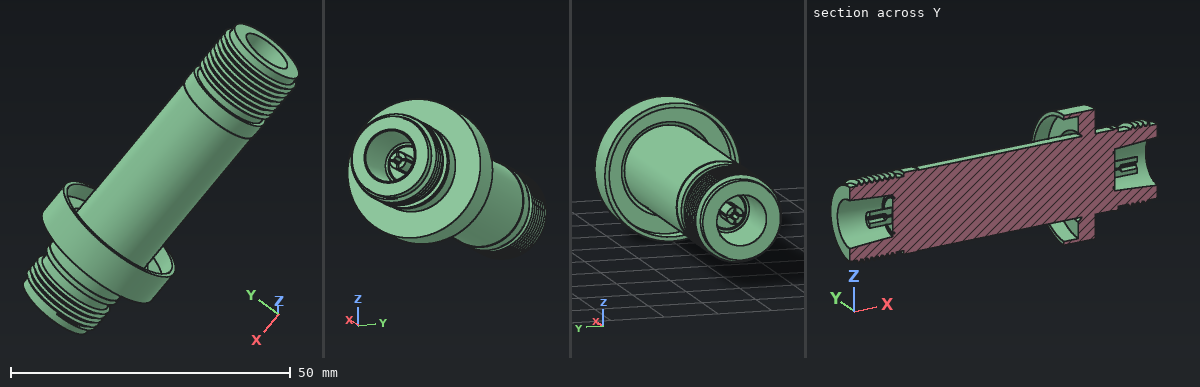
import cadquery as cq


TOTAL_LENGTH = 62.5
TUBE_RADIUS = 7.9
NECK_RADIUS = 7.25

FRONT_COLLAR_START = 10.95
FRONT_COLLAR_END = 14.0
REAR_COLLAR_START = 53.5
REAR_COLLAR_END = 54.5
COLLAR_RADIUS = 8.0
LIP_LENGTH = 0.1
LIP_RADIUS = 4.9
NECK_END = TOTAL_LENGTH - LIP_LENGTH

FLANGE_START = 43.35
FLANGE_END = 49.8
FLANGE_RADIUS = 12.6
CUP_RADIUS = 11.8
CUP_DEPTH = 2.95
COUNTERSINK_RADIUS = 8.6
COUNTERSINK_DEPTH = COUNTERSINK_RADIUS - TUBE_RADIUS

THREAD_RADIUS = 8.0
THREAD_PITCH = 1.045
THREAD_BASE = 0.95
THREAD_EMBED = 0.05
ENVELOPE_RADIUS = 8.75
FRONT_CREST = 1.95
FRONT_CREST_COUNT = 8
FRONT_THREAD_END = 9.55
REAR_THREAD_START = 56.5
REAR_THREAD_TURNS = 4.4
REAR_THREAD_END = 60.8
REAR_START_ANGLE = 132.0

MOUTH_RADIUS = 4.6
BORE_RADIUS = 4.0
SOCKET_DEPTH = 8.75
GROOVE_OUTER_RADIUS = 3.5
GROOVE_INNER_RADIUS = 3.3
GROOVE_DEPTH = 0.3
PIN_RADIUS = 1.55
PIN_TIP_DEPTH = 4.1
PIN_HOLE_RADIUS = 0.7
PIN_HOLE_DEPTH = 3.1
SLOT_WIDTH = 0.3


def cylinder(start, end, radius):
    """Solid cylinder around the X axis."""
    return cq.Workplane("YZ").workplane(offset=start).circle(radius).extrude(end - start)


def revolved(points):
    """Solid from a closed outline of (x, radius) points turned around the X axis."""
    return cq.Workplane("XY").polyline(points).close().revolve(360, (0, 0, 0), (1, 0, 0))


def make_body():
    """Necks, collars and tube, with the raised lip on the rear end."""
    neck = cylinder(0, NECK_END, NECK_RADIUS)
    front_collar = cylinder(FRONT_COLLAR_START, FRONT_COLLAR_END, COLLAR_RADIUS)
    tube = cylinder(FRONT_COLLAR_END, REAR_COLLAR_START, TUBE_RADIUS)
    rear_collar = cylinder(REAR_COLLAR_START, REAR_COLLAR_END, COLLAR_RADIUS)
    lip = cylinder(NECK_END, TOTAL_LENGTH, LIP_RADIUS)
    return neck.union(front_collar).union(tube).union(rear_collar).union(lip)


def make_flange():
    """Cup with a countersink in its floor around the tube."""
    floor = FLANGE_START + CUP_DEPTH
    return revolved([
        (FLANGE_START, CUP_RADIUS),
        (FLANGE_START, FLANGE_RADIUS),
        (FLANGE_END, FLANGE_RADIUS),
        (FLANGE_END, 0),
        (floor + COUNTERSINK_DEPTH, 0),
        (floor + COUNTERSINK_DEPTH, TUBE_RADIUS),
        (floor, COUNTERSINK_RADIUS),
        (floor, CUP_RADIUS),
    ])


def ridge_outline(crest):
    """Triangular thread ridge with its crest at the given x, its base sunk into the neck."""
    root = NECK_RADIUS - THREAD_EMBED
    return [
        (crest - THREAD_BASE / 2, root),
        (crest, THREAD_RADIUS),
        (crest + THREAD_BASE / 2, root),
    ]


def add_front_thread(body):
    """Row of ring-shaped ridges, the last one cut flat at the thread end."""
    ridges = cq.Workplane("XY")
    for i in range(FRONT_CREST_COUNT):
        ridges = ridges.union(revolved(ridge_outline(FRONT_CREST + i * THREAD_PITCH)))
    return body.union(ridges.intersect(cylinder(0, FRONT_THREAD_END, ENVELOPE_RADIUS)))


def add_rear_thread(body):
    """Right-handed helical ridge, cut flat at its outer end."""
    helix = cq.Wire.makeHelix(
        THREAD_PITCH, REAR_THREAD_TURNS * THREAD_PITCH, NECK_RADIUS, cq.Vector(0, 0, 0), cq.Vector(0, 0, 1)
    )
    outline = [(radius, x) for x, radius in ridge_outline(0)]
    ridge = cq.Workplane("XZ").polyline(outline).close().sweep(cq.Workplane(obj=helix), isFrenet=True)
    ridge = ridge.rotate((0, 0, 0), (1, 1, 1), 120)
    ridge = ridge.rotate((0, 0, 0), (1, 0, 0), REAR_START_ANGLE)
    ridge = ridge.translate((REAR_THREAD_START, 0, 0))
    return body.union(ridge.intersect(cylinder(REAR_COLLAR_END, REAR_THREAD_END, ENVELOPE_RADIUS)))


def make_pin():
    """Contact pin with a drilled tip, split into four fingers by two crossed slots."""
    pin = cylinder(PIN_TIP_DEPTH, SOCKET_DEPTH, PIN_RADIUS)
    hole_end = PIN_TIP_DEPTH + PIN_HOLE_DEPTH
    hole = revolved([
        (PIN_TIP_DEPTH, 0),
        (PIN_TIP_DEPTH, PIN_HOLE_RADIUS),
        (hole_end, PIN_HOLE_RADIUS),
        (hole_end + PIN_HOLE_RADIUS, 0),
    ])
    pin = pin.cut(hole)
    slot_length = SOCKET_DEPTH - PIN_TIP_DEPTH
    slot = cq.Workplane("XY").box(slot_length, 2 * PIN_RADIUS, SLOT_WIDTH, centered=(False, True, True))
    slot = slot.translate((PIN_TIP_DEPTH, 0, 0))
    for angle in (0, 90):
        pin = pin.cut(slot.rotate((0, 0, 0), (1, 0, 0), angle))
    return pin


def make_socket():
    """Hollow of a socket with its mouth at x = 0, without the space taken by the pin."""
    hollow = revolved([(0, 0), (0, MOUTH_RADIUS), (SOCKET_DEPTH, BORE_RADIUS), (SOCKET_DEPTH, 0)])
    groove_end = SOCKET_DEPTH + GROOVE_DEPTH
    groove = cylinder(SOCKET_DEPTH, groove_end, GROOVE_OUTER_RADIUS)
    groove = groove.cut(cylinder(SOCKET_DEPTH, groove_end, GROOVE_INNER_RADIUS))
    return hollow.union(groove).cut(make_pin())


body = make_body().union(make_flange())
body = add_front_thread(body)
body = add_rear_thread(body)
front_socket = make_socket()
rear_socket = front_socket.mirror("YZ").translate((TOTAL_LENGTH, 0, 0))
result = body.cut(front_socket).cut(rear_socket)